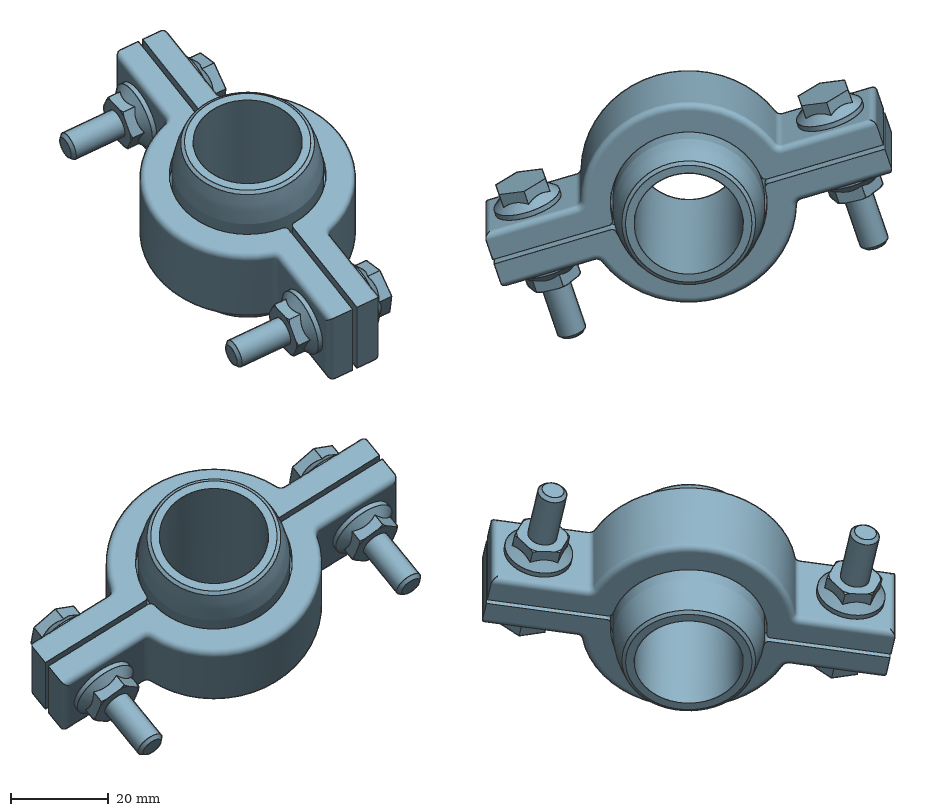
import cadquery as cq
import math

CLAMP_LENGTH = 83.8
CLAMP_HEIGHT = 19.35
CLAMP_RADIUS = 22.0
LUG_FACE_Y = 6.2
GAP = 1.0
CLAMP_BORE_RADIUS = 16.0
LUG_ROOT_RADIUS = 1.3
EDGE_RADIUS = 1.3
MOUTH_RADIUS = 1.0

BUSH_HEIGHT = 40.0
BUSH_RADIUS = 15.5
BUSH_BORE_RADIUS = 11.1
NOSE_RADIUS = 13.65
NOSE_LENGTH = 7.8
NOSE_BULGE = 0.25
RIM_CHAMFER_WIDTH = 0.75
RIM_CHAMFER_HEIGHT = 0.5
COLLAR_RADIUS = 19.0
COLLAR_HEIGHT = 13.4
COLLAR_CHAMFER_WIDTH = 0.5
COLLAR_CHAMFER_HEIGHT = 0.25

BOLT_X = 32.4
SHANK_RADIUS = 3.0
SHANK_END_Y = -23.8
SHANK_CHAMFER = 0.75
HEX_SIDES = 6
HEX_ACROSS_FLATS = 10.05
HEX_LENGTH = 5.2
FLANGE_RADIUS = 7.0
FLANGE_THICKNESS = 1.1
FLANGE_SLOPE = 42.0
HEAD_TURN = 22.6
NUT_TURN = 10.0
NUT_CORNER_RADIUS = 5.4
NUT_CORNER_SLOPE = 30.0


def make_collar():
    top = COLLAR_HEIGHT / 2
    side_top = top - COLLAR_CHAMFER_HEIGHT
    face_radius = COLLAR_RADIUS - COLLAR_CHAMFER_WIDTH
    return (
        cq.Workplane("XZ")
        .moveTo(0, -top)
        .lineTo(face_radius, -top)
        .lineTo(COLLAR_RADIUS, -side_top)
        .lineTo(COLLAR_RADIUS, side_top)
        .lineTo(face_radius, top)
        .lineTo(0, top)
        .close()
        .revolve(360, (0, 0), (0, 1))
    )


def make_bush():
    top = BUSH_HEIGHT / 2
    nose_start = top - NOSE_LENGTH
    nose_end = top - RIM_CHAMFER_HEIGHT
    nose_middle_radius = (BUSH_RADIUS + NOSE_RADIUS) / 2 + NOSE_BULGE
    nose_middle_z = (nose_start + nose_end) / 2
    rim_radius = NOSE_RADIUS - RIM_CHAMFER_WIDTH
    sleeve = (
        cq.Workplane("XZ")
        .moveTo(BUSH_RADIUS, -nose_start)
        .lineTo(BUSH_RADIUS, nose_start)
        .threePointArc((nose_middle_radius, nose_middle_z), (NOSE_RADIUS, nose_end))
        .lineTo(rim_radius, top)
        .lineTo(0, top)
        .lineTo(0, -top)
        .lineTo(rim_radius, -top)
        .lineTo(NOSE_RADIUS, -nose_end)
        .threePointArc((nose_middle_radius, -nose_middle_z), (BUSH_RADIUS, -nose_start))
        .close()
        .revolve(360, (0, 0), (0, 1))
    )
    bore = cq.Workplane("XY").circle(BUSH_BORE_RADIUS).extrude(BUSH_HEIGHT, both=True)
    return sleeve.union(make_collar()).cut(bore)


def make_clamp_half():
    """The half on the +Y side."""
    end_x = CLAMP_LENGTH / 2
    gap_y = GAP / 2
    root_x = math.sqrt(CLAMP_RADIUS**2 - LUG_FACE_Y**2)
    half = (
        cq.Workplane("XY")
        .moveTo(-end_x, gap_y)
        .lineTo(end_x, gap_y)
        .lineTo(end_x, LUG_FACE_Y)
        .lineTo(root_x, LUG_FACE_Y)
        .threePointArc((0, CLAMP_RADIUS), (-root_x, LUG_FACE_Y))
        .lineTo(-end_x, LUG_FACE_Y)
        .close()
        .extrude(CLAMP_HEIGHT / 2, both=True)
    )
    half = half.edges("|Z and (not <X) and (not >X)").fillet(LUG_ROOT_RADIUS)

    lug_ends = half.faces("<X or >X").edges("|Z").edges(">Y")
    outer_rims = half.faces("<Z or >Z").edges("not (<Y or <X or >X)")
    half = half.newObject(lug_ends.vals() + outer_rims.vals()).fillet(EDGE_RADIUS)

    bore = cq.Workplane("XY").circle(CLAMP_BORE_RADIUS).extrude(CLAMP_HEIGHT, both=True)
    half = half.cut(bore)
    half = half.faces("<Y").edges("|Z and (not <X) and (not >X)").fillet(MOUTH_RADIUS)

    half = half.cut(make_collar())
    holes = (
        cq.Workplane("XZ")
        .pushPoints([(-BOLT_X, 0), (BOLT_X, 0)])
        .circle(SHANK_RADIUS)
        .extrude(CLAMP_LENGTH, both=True)
    )
    return half.cut(holes)


def make_flanged_hex(turn):
    """Hexagon on a conical flange, standing on z = 0 along +Z."""
    cone_top_radius = SHANK_RADIUS
    cone_height = (FLANGE_RADIUS - cone_top_radius) * math.tan(math.radians(FLANGE_SLOPE))
    across_corners = HEX_ACROSS_FLATS / math.cos(math.pi / HEX_SIDES)
    hexagon = (
        cq.Workplane("XY")
        .polygon(HEX_SIDES, across_corners)
        .extrude(HEX_LENGTH)
        .rotate((0, 0, 0), (0, 0, 1), turn)
    )
    flange = (
        cq.Workplane("XZ")
        .lineTo(FLANGE_RADIUS, 0)
        .lineTo(FLANGE_RADIUS, FLANGE_THICKNESS)
        .lineTo(cone_top_radius, FLANGE_THICKNESS + cone_height)
        .lineTo(0, FLANGE_THICKNESS + cone_height)
        .close()
        .revolve(360, (0, 0), (0, 1))
    )
    return hexagon.union(flange)


def make_bolt(x):
    head = make_flanged_hex(-HEAD_TURN).rotate((0, 0, 0), (1, 0, 0), -90)
    head = head.translate((x, LUG_FACE_Y, 0))
    shank = (
        cq.Workplane("XZ", origin=(x, LUG_FACE_Y, 0))
        .circle(SHANK_RADIUS)
        .extrude(LUG_FACE_Y - SHANK_END_Y)
        .faces("<Y")
        .chamfer(SHANK_CHAMFER)
    )
    return head.union(shank)


def make_nut(x):
    thread = cq.Workplane("XY").circle(SHANK_RADIUS).extrude(HEX_LENGTH)
    trim_height = HEX_LENGTH + NUT_CORNER_RADIUS * math.tan(math.radians(NUT_CORNER_SLOPE))
    trim_radius = trim_height / math.tan(math.radians(NUT_CORNER_SLOPE))
    corner_trim = (
        cq.Workplane("XZ")
        .lineTo(trim_radius, 0)
        .lineTo(0, trim_height)
        .close()
        .revolve(360, (0, 0), (0, 1))
    )
    nut = make_flanged_hex(NUT_TURN).intersect(corner_trim).cut(thread)
    return nut.rotate((0, 0, 0), (1, 0, 0), 90).translate((x, -LUG_FACE_Y, 0))


bush = make_bush()
back_clamp = make_clamp_half()
front_clamp = back_clamp.mirror("XZ")
bolts = [make_bolt(x) for x in (-BOLT_X, BOLT_X)]
nuts = [make_nut(x) for x in (-BOLT_X, BOLT_X)]

bodies = [bush, back_clamp, front_clamp, *bolts, *nuts]
result = cq.Compound.makeCompound([body.val() for body in bodies])